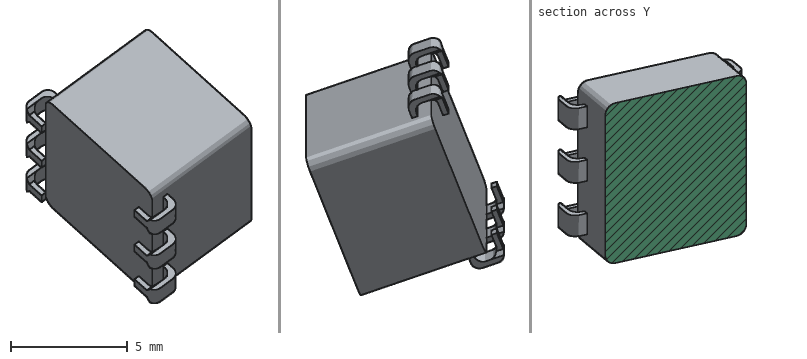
import cadquery as cq

body_width = 6.83
body_depth = 5.72
body_height = 7.62
body_edge_radius = 0.5

overall_width = 8.376
overall_depth = 6.35
lead_depth = 1.5
lead_thickness = 0.25
lead_width = 1.0
bend_radius = 0.4
foot_width = 0.5
shoulder_length = 0.18
foot_reach = 1.22
lead_pitch = 2.54
leads_per_side = 3

lead_outer_x = -overall_width / 2
foot_front_y = -overall_depth / 2
body_front_y = overall_depth / 2 - body_depth
body_side_x = -body_width / 2


def make_body():
    block = cq.Workplane("XY").box(body_width, body_depth, body_height)
    block = block.edges("|Y").fillet(body_edge_radius)
    return block.translate((0, body_front_y + body_depth / 2, 0))


def bent_strip():
    """Full-width C-shaped strip on the -X side, centred on Z = 0."""
    tip_x = lead_outer_x + foot_reach
    inner_x = lead_outer_x + lead_thickness
    root_y = foot_front_y + lead_depth
    inner_front_y = foot_front_y + lead_thickness
    inner_root_y = root_y - lead_thickness
    root_x = body_side_x + lead_thickness
    strip = (
        cq.Workplane("XY")
        .moveTo(tip_x, foot_front_y)
        .lineTo(lead_outer_x, foot_front_y)
        .lineTo(lead_outer_x, root_y)
        .lineTo(root_x, root_y)
        .lineTo(root_x, inner_root_y)
        .lineTo(inner_x, inner_root_y)
        .lineTo(inner_x, inner_front_y)
        .lineTo(tip_x, inner_front_y)
        .close()
        .extrude(lead_width / 2, both=True)
    )
    outer_bends = strip.edges("|Z and <X")
    strip = outer_bends.fillet(bend_radius)
    inner_bends = cq.selectors.BoxSelector(
        (inner_x - lead_thickness / 2, inner_front_y - lead_thickness / 2, -lead_width),
        (inner_x + lead_thickness / 2, inner_root_y + lead_thickness / 2, lead_width),
    )
    return strip.edges("|Z").edges(inner_bends).fillet(bend_radius)


def foot_notch():
    """Corner cut above the foot, with a sloped shoulder up to the full lead width."""
    shoulder_x = lead_outer_x + lead_thickness
    foot_x = shoulder_x + shoulder_length
    beyond_tip_x = lead_outer_x + 2 * foot_reach
    notch_depth = lead_depth / 2
    return (
        cq.Workplane("XZ", origin=(0, foot_front_y, 0))
        .moveTo(shoulder_x, lead_width / 2)
        .lineTo(foot_x, foot_width / 2)
        .lineTo(beyond_tip_x, foot_width / 2)
        .lineTo(beyond_tip_x, lead_width / 2)
        .close()
        .extrude(-notch_depth)
    )


def make_lead():
    upper_notch = foot_notch()
    lower_notch = upper_notch.mirror("XY")
    return bent_strip().cut(upper_notch).cut(lower_notch)


result = make_body()
left_lead = make_lead()
right_lead = left_lead.mirror("YZ")
for index in range(leads_per_side):
    lead_z = (index - (leads_per_side - 1) / 2) * lead_pitch
    result = result.union(left_lead.translate((0, 0, lead_z)))
    result = result.union(right_lead.translate((0, 0, lead_z)))